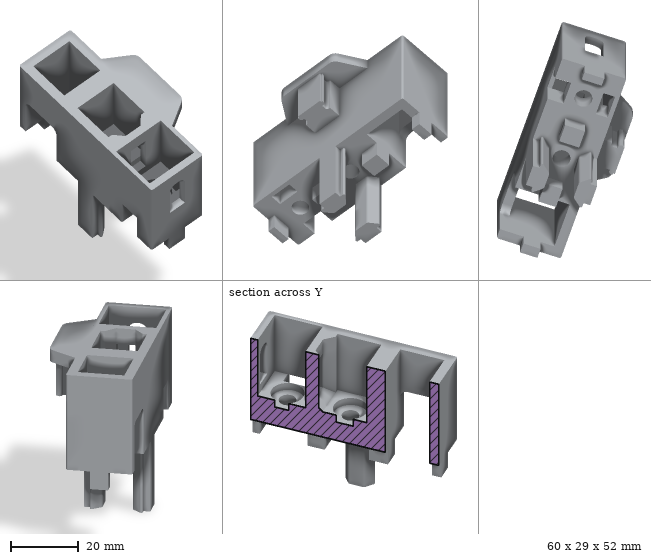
import cadquery as cq

LENGTH = 60.0
DEPTH = 20.0
HEIGHT = 30.0
CORNER_RADIUS = 0.65
WALL = 3.0
MID_X = LENGTH / 2
MID_Y = DEPTH / 2

CELL = DEPTH - 2 * WALL
LEFT_CELL_X = WALL + CELL / 2
END_CELL_LENGTH = 15.25
END_CELL_WIDTH = 17.3
END_WALL = 2.35
END_CELL_RIGHT = LENGTH - END_WALL
END_CELL_LEFT = END_CELL_RIGHT - END_CELL_LENGTH
END_CELL_X = END_CELL_RIGHT - END_CELL_LENGTH / 2
FLOOR_TOP = 9.4

BORE_DIAMETER = 5.2
COUNTERBORE_DEPTH = 2.5
MID_COUNTERBORE = 10.4
END_COUNTERBORE = 10.0

ARCH_HEIGHT = 15.0
ARCH_RADIUS = 2.4
SLOT_LENGTH = 6.95
SLOT_BRIDGE = 10.1
CHANNEL_WIDTH = 5.8
CHANNEL_TOP = 25.0
CHANNEL_END_RADIUS = 2.5
NICHE_DEPTH = 2.95
CHANNEL_BOTTOM = FLOOR_TOP + NICHE_DEPTH
NICHE_MOUTH = 11.2

FOOT_HEIGHT = 5.6
RIGHT_FOOT_WIDTH = 6.2
LEFT_FOOT_WIDTH = 5.4

LEG_LENGTH = 22.0
LEG_STEM_HALF = 3.2
LEG_STEM_DEPTH = 2.05
LEG_RIM_HALF = 5.2
LEG_RIM_RADIUS = 0.5
LEG_NOSE_HALF = 2.45
LEG_NOSE_RADIUS = 1.0
LEG_DEPTH = 5.4

PLATE_BASE = 32.0
PLATE_TOP = 20.9
PLATE_REACH = 9.0
PLATE_THICKNESS = 3.9
PLATE_RADIUS = 2.75

KEY_LENGTH = 13.1
KEY_HALF = 4.8
KEY_NECK_HALF = 3.6
KEY_LIP_HALF = 4.4
KEY_BASE_REACH = 4.15
KEY_HEAD_START = 6.25
KEY_LIP_START = 7.55
KEY_REACH = 8.1
KEY_RADIUS = 0.8


def box(x_range, y_range, z_range):
    """Box spanning the given ranges."""
    (x0, x1), (y0, y1), (z0, z1) = x_range, y_range, z_range
    return cq.Workplane("XY").box(x1 - x0, y1 - y0, z1 - z0, centered=False).translate((x0, y0, z0))


def centred(middle, size):
    """Range of the given size about a middle value."""
    return middle - size / 2, middle + size / 2


def cylinder(x, diameter, z_range):
    """Upright cylinder on the housing's centre plane."""
    z0, z1 = z_range
    return cq.Workplane("XY", origin=(x, MID_Y, z0)).circle(diameter / 2).extrude(z1 - z0)


def screw_hole(x, counterbore):
    """Bore through a cell floor, widened at the top by a counterbore."""
    head = cylinder(x, counterbore, (FLOOR_TOP - COUNTERBORE_DEPTH, FLOOR_TOP))
    return head.union(cylinder(x, BORE_DIAMETER, (0, FLOOR_TOP)))


def make_niche():
    """Tapered niche in the middle cell's +X wall, with a floor that ramps up to the channel."""
    mouth_x = MID_X + CELL / 2
    back_x = mouth_x + NICHE_DEPTH
    taper = (
        cq.Workplane("XY")
        .polyline([
            (mouth_x, MID_Y - NICHE_MOUTH / 2),
            (back_x, MID_Y - CHANNEL_WIDTH / 2),
            (back_x, MID_Y + CHANNEL_WIDTH / 2),
            (mouth_x, MID_Y + NICHE_MOUTH / 2),
        ])
        .close()
        .extrude(HEIGHT)
    )
    above_ramp = (
        cq.Workplane("XZ")
        .polyline([(mouth_x, FLOOR_TOP), (back_x, CHANNEL_BOTTOM), (back_x, HEIGHT), (mouth_x, HEIGHT)])
        .close()
        .extrude(-DEPTH)
    )
    return taper.intersect(above_ramp)


def make_channel():
    """Channel from the niche into the end cell, leaving through an arch in the +X wall."""
    inner = box(
        (MID_X + CELL / 2 + NICHE_DEPTH, END_CELL_X),
        centred(MID_Y, CHANNEL_WIDTH),
        (CHANNEL_BOTTOM, CHANNEL_TOP),
    )
    outlet = box((END_CELL_X, LENGTH), centred(MID_Y, CHANNEL_WIDTH), (CHANNEL_BOTTOM, CHANNEL_TOP))
    return inner.union(outlet.edges("|X and >Z").fillet(CHANNEL_END_RADIUS))


def make_housing():
    body = box((0, LENGTH), (0, DEPTH), (0, HEIGHT)).edges("|Z").fillet(CORNER_RADIUS)

    feet = [
        ((0, WALL), LEFT_FOOT_WIDTH),
        ((WALL + CELL, MID_X - CELL / 2), LEFT_FOOT_WIDTH),
        ((MID_X + CELL / 2, END_CELL_LEFT), RIGHT_FOOT_WIDTH),
        ((END_CELL_RIGHT, LENGTH), RIGHT_FOOT_WIDTH),
    ]
    for x_range, width in feet:
        body = body.union(box(x_range, centred(MID_Y, width), (-FOOT_HEIGHT, 0)))

    body = body.cut(box(centred(LEFT_CELL_X, CELL), centred(MID_Y, CELL), (0, HEIGHT)))
    body = body.cut(box(centred(MID_X, CELL), centred(MID_Y, CELL), (FLOOR_TOP, HEIGHT)))
    body = body.cut(
        box(centred(END_CELL_X, END_CELL_LENGTH), centred(MID_Y, END_CELL_WIDTH), (FLOOR_TOP, HEIGHT))
    )

    body = body.cut(screw_hole(MID_X, MID_COUNTERBORE))
    body = body.cut(screw_hole(END_CELL_X, END_COUNTERBORE))

    arch = box(centred(LEFT_CELL_X, CELL), (0, WALL), (0, ARCH_HEIGHT))
    body = body.cut(arch.edges("|Y and >Z").fillet(ARCH_RADIUS))

    slot_x = centred(END_CELL_X, SLOT_LENGTH)
    bridge_front, bridge_back = centred(MID_Y, SLOT_BRIDGE)
    cell_back = MID_Y + END_CELL_WIDTH / 2
    body = body.cut(box(slot_x, (0, bridge_front), (0, FLOOR_TOP)))
    body = body.cut(box(slot_x, (bridge_back, cell_back), (0, FLOOR_TOP)))

    return body.cut(make_niche()).cut(make_channel())


def make_leg():
    """Front leg, its outer face flush with the housing's front face."""
    right_half = [
        (LEG_STEM_HALF, 0),
        (LEG_STEM_HALF, LEG_STEM_DEPTH),
        (LEG_RIM_HALF, LEG_STEM_DEPTH),
        (LEG_NOSE_HALF, LEG_DEPTH),
    ]
    left_half = [(-x, y) for x, y in reversed(right_half)]
    leg = cq.Workplane("XY").polyline(right_half + left_half).close().extrude(-LEG_LENGTH)
    leg = leg.edges("|Z and >Y").fillet(LEG_NOSE_RADIUS)
    leg = leg.edges("|Z and (<X or >X)").fillet(LEG_RIM_RADIUS)
    return leg.translate((MID_X, 0, 0))


def make_plate():
    plate = (
        cq.Workplane("XY", origin=(MID_X, DEPTH, HEIGHT))
        .polyline([
            (-PLATE_BASE / 2, 0),
            (PLATE_BASE / 2, 0),
            (PLATE_TOP / 2, PLATE_REACH),
            (-PLATE_TOP / 2, PLATE_REACH),
        ])
        .close()
        .extrude(-PLATE_THICKNESS)
    )
    return plate.edges("|Z and >Y").fillet(PLATE_RADIUS)


def make_key():
    """T-headed key, its outline drawn for X >= 0 from the housing's back face outwards."""
    half = (
        cq.Workplane("XY")
        .moveTo(0, 0)
        .lineTo(KEY_HALF, 0)
        .lineTo(KEY_HALF, KEY_BASE_REACH)
        .lineTo(KEY_NECK_HALF + KEY_RADIUS, KEY_BASE_REACH)
        .radiusArc((KEY_NECK_HALF, KEY_BASE_REACH + KEY_RADIUS), KEY_RADIUS)
        .lineTo(KEY_NECK_HALF, KEY_HEAD_START)
        .lineTo(KEY_HALF - KEY_RADIUS, KEY_HEAD_START)
        .radiusArc((KEY_HALF, KEY_HEAD_START + KEY_RADIUS), -KEY_RADIUS)
        .lineTo(KEY_HALF, KEY_LIP_START)
        .lineTo(KEY_LIP_HALF, KEY_LIP_START)
        .lineTo(KEY_LIP_HALF, KEY_REACH)
        .lineTo(0, KEY_REACH)
        .close()
        .extrude(-KEY_LENGTH)
    )
    return half.union(half.mirror("YZ")).translate((MID_X, DEPTH, HEIGHT - PLATE_THICKNESS))


housing = make_housing()
legs = [make_leg().rotate((MID_X, MID_Y, 0), (MID_X, MID_Y, 1), angle) for angle in (0, 180)]
plate = make_plate()
key = make_key()

result = cq.Compound.makeCompound([
    housing.val(),
    *[leg.val() for leg in legs],
    plate.val(),
    key.val(),
])